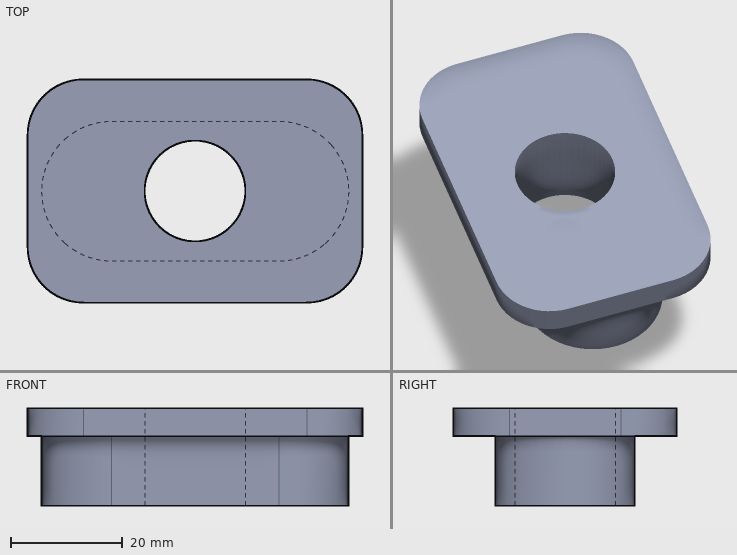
import cadquery as cq

plate_length = 60.0
plate_width = 40.0
plate_thickness = 5.05
corner_radius = 10.0

boss_length = 55.0
boss_width = 25.0
boss_height = 12.5

bore_diameter = 18.0


def make_plate():
    """Rectangular plate with rounded corners, resting on top of the boss."""
    return (
        cq.Workplane("XY")
        .workplane(offset=boss_height)
        .rect(plate_length, plate_width)
        .extrude(plate_thickness)
        .edges("|Z")
        .fillet(corner_radius)
    )


def make_boss():
    """Boss with full semicircular ends along X."""
    return cq.Workplane("XY").slot2D(boss_length, boss_width).extrude(boss_height)


def make_bore():
    """Cylinder spanning the full height of the part."""
    total_height = boss_height + plate_thickness
    return cq.Workplane("XY").circle(bore_diameter / 2).extrude(total_height)


result = make_plate().union(make_boss()).cut(make_bore())